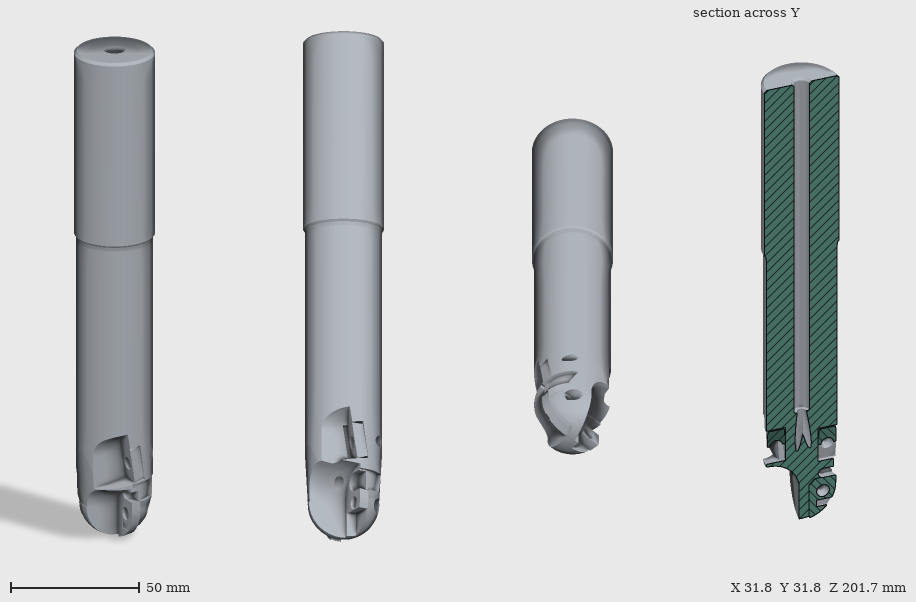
import cadquery as cq
import math

TOTAL_LENGTH = 201.7
SHANK_RADIUS = 31.75 / 2
SHANK_CHAMFER = 1.1
SHANK_BOTTOM = 125.6
SHOULDER_HEIGHT = 0.8
SHOULDER_RADIUS = 15.25
NECK_TOP = 123.3
NECK_RADIUS = 15.0
NOSE_RADIUS = 14.0
NOSE_CENTRE_Z = 14.5
NOSE_CONE_TOP = 17.5

RELIEF_RADIUS = 20.0
RELIEF_START_Z = 37.3
RELIEF_ANGLE = 3.5
RELIEF_LENGTH = 40.0
BAND_RADIUS = 13.4
BAND_BOTTOM = 17.5
BAND_TOP = 25.5
BAND_EDGE_TOP_X = -6.5
BAND_EDGE_BOTTOM_X = -9.8

BORE_DIAMETER = 6.4
BORE_BOTTOM = 50.0
BORE_MOUTH_DIAMETER = 8.4
BRANCH_DIAMETER = 3.6
BRANCH_EXIT_Y = -2.9
BRANCH_EXIT_Z = 21.5
BRANCH_OVERRUN = 2.0

WEB_WALL_TOP = 14.6
NOSE_POCKET_X = 3.2
NOSE_POCKET_TOP = 17.5
NOSE_POCKET_CHAMFER = 2.5
NOSE_INSERT_THICKNESS = 3.9
NOSE_INSERT_RADIUS = 14.4
NOSE_INSERT_CENTRE_Z = math.sqrt(NOSE_INSERT_RADIUS**2 - NOSE_POCKET_X**2)
NOSE_INSERT_CLEARANCE = 7.0
NOSE_SCREW_X = 8.9
CENTRE_SCREW_Z = 11.4
OUTER_SCREW_Z = 12.9
OUTER_INSERT_BOTTOM = 9.9
CHIP_GROOVE_X = 6.4
CHIP_GROOVE_BOTTOM = 4.7
CHIP_GROOVE_TOP = 7.4
CHIP_GROOVE_DEPTH = 0.4

SIDE_WALL_X = 6.9
SIDE_INSERT_OUTER_X = 14.6
SIDE_INSERT_WIDTH = SIDE_INSERT_OUTER_X - SIDE_WALL_X
SIDE_INSERT_CENTRE_X = (SIDE_INSERT_OUTER_X + SIDE_WALL_X) / 2
SIDE_INSERT_HEIGHT = 14.8
SIDE_INSERT_THICKNESS = 4.7
SIDE_INSERT_CORNER = 0.8
SIDE_INSERT_CLEARANCE = 12.0
SIDE_TILT = 9.0
SIDE_GULLET_RUNOUT = 8.0
SIDE_GULLET_DROP = 1.5
SEAT_GAP = 2.0

INSERT_HOLE_DIAMETER = 2.8
INSERT_SINK_DIAMETER = 5.2
INSERT_SINK_ANGLE = 60.0
SIDE_SCREW_DIAMETER = 4.4
NOSE_SCREW_DIAMETER = 3.4
NOSE_EXIT_DIAMETER = 5.6
NOSE_EXIT_DEPTH_Y = 8.5
SCREW_LEAN = 8.0
SCREW_HOLE_FLOOR_Y = 7.5

GAP_CENTRE_X = 9.0
GAP_DEPTH_Y = 3.4

OUTSIDE = 20.0
OVERLAP = 1.0

CENTRE_FLUTE = dict(
    turn=0.0,
    side_z=32.9,
    gullet_wall_x=SIDE_WALL_X,
    web_wall_x=2.4,
    gullet_radius=9.0,
    gullet_tilt=0.0,
    wall_slant=0.0,
    nose_turn=0.0,
    gap_top=21.5,
)
OUTER_FLUTE = dict(
    turn=180.0,
    side_z=36.6,
    gullet_wall_x=9.1,
    web_wall_x=1.2,
    gullet_radius=13.0,
    gullet_tilt=8.0,
    wall_slant=16.0,
    nose_turn=9.0,
    gap_top=25.0,
)


def turned(shape, angle):
    """Turn a single body about the tool axis."""
    turn = cq.Location(cq.Vector(0, 0, 0), cq.Vector(0, 0, 1), angle)
    return cq.Workplane(shape.val().moved(turn))


def box(x0, x1, y0, y1, z0, z1):
    return cq.Workplane("XY").box(x1 - x0, y1 - y0, z1 - z0, centered=False).translate((x0, y0, z0))


def prism_y(outline, y0, y1):
    """Extrude an outline of the XZ plane from y0 to y1."""
    return outline.extrude(y0 - y1).translate((0, y0, 0))


def cylinder(start, end, diameter):
    axis = cq.Vector(*end) - cq.Vector(*start)
    return cq.Workplane(cq.Solid.makeCylinder(diameter / 2, axis.Length, cq.Vector(*start), axis))


def side_frame(side_z):
    """Plane on the rake face of a side insert, its normal pointing into the holder."""
    lean = math.radians(SIDE_TILT)
    normal = (0, math.cos(lean), math.sin(lean))
    return cq.Plane(origin=(SIDE_INSERT_CENTRE_X, 0, side_z), xDir=(1, 0, 0), normal=normal)


def nose_frame():
    """Plane of the nose rake faces, its normal pointing into the holder."""
    return cq.Plane(origin=(0, 0, 0), xDir=(1, 0, 0), normal=(0, 1, 0))


def turned_blank():
    """Shank, neck and ball nose as one turned shape."""
    nose_tip = NOSE_CENTRE_Z - NOSE_RADIUS
    diagonal = NOSE_RADIUS * math.sqrt(0.5)
    return (
        cq.Workplane("YZ")
        .moveTo(0, TOTAL_LENGTH)
        .lineTo(-SHANK_RADIUS + SHANK_CHAMFER, TOTAL_LENGTH)
        .lineTo(-SHANK_RADIUS, TOTAL_LENGTH - SHANK_CHAMFER)
        .lineTo(-SHANK_RADIUS, SHANK_BOTTOM)
        .lineTo(-SHOULDER_RADIUS, SHANK_BOTTOM - SHOULDER_HEIGHT)
        .lineTo(-NECK_RADIUS, NECK_TOP)
        .lineTo(-NECK_RADIUS, NOSE_CONE_TOP)
        .lineTo(-NOSE_RADIUS, NOSE_CENTRE_Z)
        .threePointArc((-diagonal, NOSE_CENTRE_Z - diagonal), (0, nose_tip))
        .close()
        .revolve(360, (0, 0, 0), (0, 1, 0))
    )


def flank_relief():
    """Cutter that leaves a flatter, sloping flank at -Y above the nose."""
    keep = cq.Workplane("XY").circle(RELIEF_RADIUS).extrude(2 * RELIEF_LENGTH)
    keep = keep.translate((0, RELIEF_RADIUS, -RELIEF_LENGTH))
    keep = keep.rotate((0, 0, 0), (1, 0, 0), RELIEF_ANGLE)
    keep = keep.translate((0, -NECK_RADIUS, RELIEF_START_Z))
    return box(-OUTSIDE, OUTSIDE, -OUTSIDE, 0, NOSE_CENTRE_Z, RELIEF_START_Z).cut(keep)


def flank_band():
    """Cutter for the shallow band between the flank relief and the pocket at -X."""
    ring = cq.Workplane("XY").circle(OUTSIDE).circle(BAND_RADIUS).extrude(BAND_TOP - BAND_BOTTOM)
    ring = ring.translate((0, 0, BAND_BOTTOM))
    outline = (
        cq.Workplane("XZ")
        .moveTo(-OUTSIDE, BAND_BOTTOM)
        .lineTo(BAND_EDGE_BOTTOM_X, BAND_BOTTOM)
        .lineTo(BAND_EDGE_TOP_X, BAND_TOP)
        .lineTo(-OUTSIDE, BAND_TOP)
        .close()
    )
    return ring.intersect(prism_y(outline, -OUTSIDE, 0))


def nose_gullet(web_wall_x, gullet_radius, wall_slant, axis_tilt):
    """Chip space in front of the nose insert, rising in an arc to the outside."""
    diagonal = gullet_radius * math.sqrt(0.5)
    arc_x = web_wall_x + gullet_radius
    arc_top = WEB_WALL_TOP + gullet_radius
    outline = (
        cq.Workplane("XZ")
        .moveTo(web_wall_x, -OUTSIDE)
        .lineTo(web_wall_x, WEB_WALL_TOP)
        .threePointArc((arc_x - diagonal, WEB_WALL_TOP + diagonal), (arc_x, arc_top))
        .lineTo(OUTSIDE, arc_top)
        .lineTo(OUTSIDE, -OUTSIDE)
        .close()
    )
    slanted = prism_y(outline, -2 * OUTSIDE, OUTSIDE)
    slanted = slanted.rotate((0, 0, WEB_WALL_TOP), (1, 0, WEB_WALL_TOP), -axis_tilt)
    slanted = slanted.rotate((web_wall_x, 0, 0), (web_wall_x, 0, 1), -wall_slant)
    return slanted.intersect(box(-OUTSIDE, OUTSIDE, -OUTSIDE, 0, -OVERLAP, 2 * OUTSIDE))


def nose_pocket():
    outline = (
        cq.Workplane("XZ")
        .moveTo(NOSE_POCKET_X, -OVERLAP)
        .lineTo(NOSE_POCKET_X, NOSE_POCKET_TOP - NOSE_POCKET_CHAMFER)
        .lineTo(NOSE_POCKET_X + NOSE_POCKET_CHAMFER, NOSE_POCKET_TOP)
        .lineTo(OUTSIDE, NOSE_POCKET_TOP)
        .lineTo(OUTSIDE, -OVERLAP)
        .close()
    )
    return prism_y(outline, -OVERLAP, NOSE_INSERT_THICKNESS)


def pocket_gap(gap_top):
    """Round-ended slot between the two pockets, open to the outside."""
    radius = (gap_top - NOSE_POCKET_TOP) / 2
    middle = NOSE_POCKET_TOP + radius
    outline = (
        cq.Workplane("XZ")
        .moveTo(OUTSIDE, NOSE_POCKET_TOP)
        .lineTo(GAP_CENTRE_X, NOSE_POCKET_TOP)
        .threePointArc((GAP_CENTRE_X - radius, middle), (GAP_CENTRE_X, gap_top))
        .lineTo(OUTSIDE, gap_top)
        .close()
    )
    return prism_y(outline, -OVERLAP, GAP_DEPTH_Y)


def side_gullet(side_z, gullet_wall_x):
    """Chip space in front of the side insert, with a rounded runout at its top."""
    bottom = -SIDE_INSERT_HEIGHT / 2
    top = SIDE_INSERT_HEIGHT / 2
    wall = gullet_wall_x - SIDE_INSERT_CENTRE_X
    diagonal = SIDE_GULLET_RUNOUT * math.sqrt(0.5)
    runout_x = wall + SIDE_GULLET_RUNOUT
    wall_top = top - SIDE_GULLET_DROP
    runout_top = wall_top + SIDE_GULLET_RUNOUT
    return (
        cq.Workplane(side_frame(side_z))
        .moveTo(wall, -bottom)
        .lineTo(wall, -wall_top)
        .threePointArc((runout_x - diagonal, -wall_top - diagonal), (runout_x, -runout_top))
        .lineTo(OUTSIDE, -runout_top)
        .lineTo(OUTSIDE, -bottom)
        .close()
        .extrude(-OUTSIDE)
    )


def side_pocket(side_z):
    """Open-sided seat for the side insert, with an undercut above the rake face."""
    width = OUTSIDE - SIDE_WALL_X
    return (
        cq.Workplane(side_frame(side_z))
        .center((width - SIDE_INSERT_WIDTH) / 2, 0)
        .rect(width, SIDE_INSERT_HEIGHT)
        .extrude(SIDE_INSERT_THICKNESS + SEAT_GAP)
        .translate(side_frame(side_z).zDir * -SEAT_GAP)
    )


def leaning_hole(x, z, rise, depth_y, diameter):
    """Blind hole from the back of the holder, leaning away from the axis as it goes deeper.

    Its axis passes through (x, 0, z), and its floor is at depth_y.
    """
    lean = math.tan(math.radians(SCREW_LEAN))

    def axis_point(y):
        return (x - y * lean, y, z + y * rise)

    return cylinder(axis_point(depth_y), axis_point(OUTSIDE), diameter)


def side_screw_hole(side_z):
    rise = math.tan(math.radians(SIDE_TILT))
    return leaning_hole(SIDE_INSERT_CENTRE_X, side_z, rise, SCREW_HOLE_FLOOR_Y, SIDE_SCREW_DIAMETER)


def nose_screw_hole(screw_z):
    """Stepped hole, wider where it leaves the nose."""
    hole = leaning_hole(NOSE_SCREW_X, screw_z, 0, SCREW_HOLE_FLOOR_Y, NOSE_SCREW_DIAMETER)
    mouth = leaning_hole(NOSE_SCREW_X, screw_z, 0, NOSE_EXIT_DEPTH_Y, NOSE_EXIT_DIAMETER)
    return hole.union(mouth)


def coolant_bore():
    sink_depth = (BORE_MOUTH_DIAMETER - BORE_DIAMETER) / 2
    bore = cq.Workplane("XY").circle(BORE_DIAMETER / 2).extrude(TOTAL_LENGTH - BORE_BOTTOM)
    bore = bore.translate((0, 0, BORE_BOTTOM))
    mouth = cq.Solid.makeCone(
        BORE_DIAMETER / 2, BORE_MOUTH_DIAMETER / 2, sink_depth, cq.Vector(0, 0, TOTAL_LENGTH - sink_depth)
    )
    return bore.union(cq.Workplane(mouth))


def coolant_branch(web_wall_x, gullet_radius):
    """Duct from the foot of the bore to the curved wall of the nose gullet."""
    rise = BRANCH_EXIT_Z - WEB_WALL_TOP
    exit_x = web_wall_x + gullet_radius - math.sqrt(gullet_radius**2 - rise**2)
    start = cq.Vector(0, 0, BORE_BOTTOM)
    duct = cq.Vector(exit_x, BRANCH_EXIT_Y, BRANCH_EXIT_Z) - start
    end = start + duct + duct.normalized() * BRANCH_OVERRUN
    return cylinder(start.toTuple(), end.toTuple(), BRANCH_DIAMETER)


def make_holder():
    holder = turned_blank().cut(coolant_bore())
    for flute, screw_z in ((CENTRE_FLUTE, CENTRE_SCREW_Z), (OUTER_FLUTE, OUTER_SCREW_Z)):
        gullet = nose_gullet(
            flute["web_wall_x"], flute["gullet_radius"], flute["wall_slant"], flute["gullet_tilt"]
        )
        cutters = (
            flank_relief(),
            flank_band(),
            turned(gullet, flute["nose_turn"]),
            turned(nose_pocket(), flute["nose_turn"]),
            turned(pocket_gap(flute["gap_top"]), flute["nose_turn"]),
            side_gullet(flute["side_z"], flute["gullet_wall_x"]),
            side_pocket(flute["side_z"]),
            side_screw_hole(flute["side_z"]),
            nose_screw_hole(screw_z),
            coolant_branch(flute["web_wall_x"], flute["gullet_radius"]),
        )
        for cutter in cutters:
            holder = holder.cut(turned(cutter, flute["turn"]))
    return holder


def drilled(insert, frame, x, y):
    """Countersunk screw hole through an insert, entering at its rake face."""
    hole_radius = INSERT_HOLE_DIAMETER / 2
    sink_radius = INSERT_SINK_DIAMETER / 2
    sink_depth = (sink_radius - hole_radius) / math.tan(math.radians(INSERT_SINK_ANGLE / 2))
    hole = (
        cq.Workplane("XZ")
        .lineTo(sink_radius, 0)
        .lineTo(hole_radius, sink_depth)
        .lineTo(hole_radius, OUTSIDE)
        .lineTo(0, OUTSIDE)
        .close()
        .revolve(360, (0, 0, 0), (0, 1, 0))
    )
    placed = hole.val().moved(cq.Plane(frame.toWorldCoords((x, y)), frame.xDir, frame.zDir).location)
    return insert.cut(cq.Workplane(placed))


def make_side_insert(side_z):
    frame = side_frame(side_z)
    insert = (
        cq.Workplane(frame)
        .sketch()
        .rect(SIDE_INSERT_WIDTH, SIDE_INSERT_HEIGHT)
        .vertices()
        .fillet(SIDE_INSERT_CORNER)
        .finalize()
        .extrude(SIDE_INSERT_THICKNESS, taper=SIDE_INSERT_CLEARANCE)
    )
    return drilled(insert, frame, 0, 0)


def make_nose_insert(screw_z):
    """Insert with a ball-nose edge that reaches down to the tip of the tool."""
    middle = NOSE_INSERT_CENTRE_Z / 2
    middle_x = math.sqrt(NOSE_INSERT_RADIUS**2 - (NOSE_INSERT_CENTRE_Z - middle) ** 2)
    insert = (
        cq.Workplane(nose_frame())
        .moveTo(NOSE_POCKET_X, 0)
        .threePointArc((middle_x, -middle), (NOSE_INSERT_RADIUS, -NOSE_INSERT_CENTRE_Z))
        .lineTo(NOSE_INSERT_RADIUS, -NOSE_POCKET_TOP)
        .lineTo(NOSE_POCKET_X + NOSE_POCKET_CHAMFER, -NOSE_POCKET_TOP)
        .lineTo(NOSE_POCKET_X, -NOSE_POCKET_TOP + NOSE_POCKET_CHAMFER)
        .close()
        .extrude(NOSE_INSERT_THICKNESS, taper=NOSE_INSERT_CLEARANCE)
    )
    return drilled(insert, nose_frame(), NOSE_SCREW_X, -screw_z)


def make_centre_insert():
    groove = box(CHIP_GROOVE_X, OUTSIDE, -OVERLAP, CHIP_GROOVE_DEPTH, CHIP_GROOVE_BOTTOM, CHIP_GROOVE_TOP)
    return make_nose_insert(CENTRE_SCREW_Z).cut(groove)


def make_outer_insert():
    """Nose insert cut short at the bottom, leaving the tip to the centre insert."""
    cut_off = box(0, OUTSIDE, -OVERLAP, OUTSIDE, -OVERLAP, OUTER_INSERT_BOTTOM)
    insert = make_nose_insert(OUTER_SCREW_Z).cut(cut_off)
    return turned(insert, OUTER_FLUTE["turn"] + OUTER_FLUTE["nose_turn"])


holder = make_holder()
side_inserts = [
    turned(make_side_insert(flute["side_z"]), flute["turn"]) for flute in (CENTRE_FLUTE, OUTER_FLUTE)
]
centre_insert = make_centre_insert()
outer_insert = make_outer_insert()

bodies = [holder, *side_inserts, centre_insert, outer_insert]
result = cq.Compound.makeCompound([body.solids().val() for body in bodies])